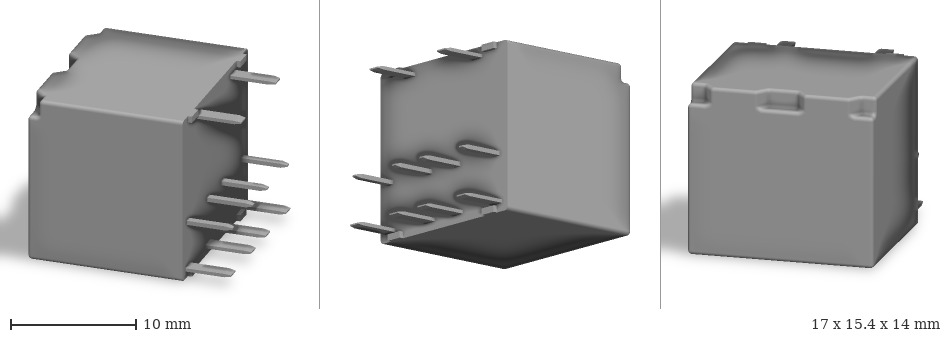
import cadquery as cq

overall_length = 17.0
body_length = 13.14
body_width = 15.4
body_height = 14.0
edge_radius = 0.3

notch_depth = 0.95
notch_drop = 1.5
notch_half_mouth = 2.0
notch_half_back = 1.2
notch_corner_radius = 0.29
notch_floor_radius = 0.29

foot_length = 0.35
foot_width = 1.48
foot_height = 0.55
foot_offset = 5.71

pin_length = overall_length - body_length
tip_length = 0.55
tip_width_loss = 0.17
tip_thickness = 0.12
pin_thickness = 0.29
wide_pin = 1.2
coil_pin_thickness = 0.35
narrow_pin = 0.61
outer_pin_y = 6.48
inner_pin_y = 1.7
top_pin_y = 4.08
outer_row_z = 6.19
middle_row_z = -2.2


def make_notch_cutter(center_y):
    """Tool for one flared notch, with its inner corners and floor edges rounded."""
    mouth_overrun = 0.68
    flare = (notch_half_mouth - notch_half_back) / notch_depth
    half_mouth = notch_half_mouth + flare * mouth_overrun
    outline = [
        (-mouth_overrun, center_y - half_mouth),
        (notch_depth, center_y - notch_half_back),
        (notch_depth, center_y + notch_half_back),
        (-mouth_overrun, center_y + half_mouth),
    ]
    floor_z = body_height / 2 - notch_drop
    cutter_height = 2 * notch_drop
    cutter = cq.Workplane("XY", origin=(0, 0, floor_z)).polyline(outline).close().extrude(cutter_height)
    cutter = cutter.edges("|Z and >X").fillet(notch_corner_radius)
    return cutter.faces("<Z").edges("not <X").fillet(notch_floor_radius)


def make_housing():
    """Block with three notches; every outer edge is rounded except around the pin face."""
    housing = cq.Workplane("XY").box(body_length, body_width, body_height, centered=(False, True, True))
    for center_y in (-body_width / 2, 0, body_width / 2):
        housing = housing.cut(make_notch_cutter(center_y))
    sharp_edges = housing.faces("<X or >Z or <Z or <Y or >Y").edges("not(>X)")
    return sharp_edges.fillet(edge_radius)


def make_pin(width, thickness, center_y, center_z):
    """Flat pin along X whose tip tapers in width and thickness."""
    shank_end = overall_length - tip_length
    root = cq.Workplane("YZ", origin=(body_length, center_y, center_z))
    shank = root.rect(width, thickness).extrude(pin_length - tip_length)
    tip = (
        cq.Workplane("YZ", origin=(shank_end, center_y, center_z))
        .rect(width, thickness)
        .workplane(offset=tip_length)
        .rect(width - tip_width_loss, tip_thickness)
        .loft(ruled=True)
    )
    return shank.union(tip)


def make_foot(side_y, side_z):
    """Small standoff flush with the top or bottom of the housing."""
    center_z = side_z * (body_height - foot_height) / 2
    root = cq.Workplane("YZ", origin=(body_length, side_y * foot_offset, center_z))
    return root.rect(foot_width, foot_height).extrude(foot_length)


result = make_housing()
for side_y in (-1, 1):
    result = result.union(make_pin(wide_pin, pin_thickness, side_y * top_pin_y, outer_row_z))
    for pin_y in (inner_pin_y, outer_pin_y):
        result = result.union(make_pin(narrow_pin, coil_pin_thickness, side_y * pin_y, middle_row_z))
        result = result.union(make_pin(wide_pin, pin_thickness, side_y * pin_y, -outer_row_z))
    for side_z in (-1, 1):
        result = result.union(make_foot(side_y, side_z))